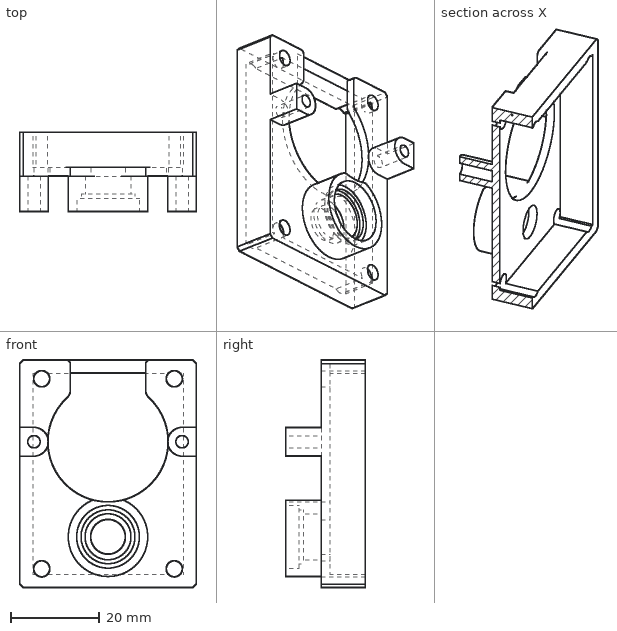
import cadquery as cq

WIDTH = 40.0
HEIGHT = 51.5
HOUSING_DEPTH = 10.0
PLATE_THICKNESS = 2.0
WALL = 3.0
CORNER_CHAMFER = 0.8

WINDOW_RADIUS = 13.6
WINDOW_Z = 33.0
SLOT_WIDTH = 17.0
SLOT_TOP_ROUNDING = 1.0
SLOT_FOOT_ROUNDING = 2.0

SCREW_HOLE_DIAMETER = 3.6
SCREW_SPACING_X = 30.0
SCREW_SPACING_Z = 43.0

PROJECTION = 8.0
STANDOFF_Z = 33.0
STANDOFF_WIDTH = 6.5
STANDOFF_LENGTH = 6.5
STANDOFF_HOLE_DIAMETER = 2.8

BEARING_Z = 11.5
BEARING_BOSS_DIAMETER = 18.0
BOSS_EDGE_ROUNDING = 1.0
SHAFT_HOLE_DIAMETER = 7.8
FRONT_LENGTH = PROJECTION + PLATE_THICKNESS
BORE_STEPS = [
    (14.2, 3.0),
    (12.2, 4.0),
    (10.4, PROJECTION),
    (SHAFT_HOLE_DIAMETER, FRONT_LENGTH),
]


def front_plane(y):
    """Plane facing -Y at the given Y, with local x along X and local y along Z."""
    return cq.Workplane(cq.Plane(origin=(0, y, 0), xDir=(1, 0, 0), normal=(0, -1, 0)))


def make_housing():
    """Box open at the back, with its four corner edges along Y chamfered."""
    outer = (
        front_plane(HOUSING_DEPTH)
        .center(0, HEIGHT / 2)
        .rect(WIDTH, HEIGHT)
        .extrude(HOUSING_DEPTH)
        .edges("|Y")
        .chamfer(CORNER_CHAMFER)
    )
    cavity = (
        front_plane(HOUSING_DEPTH)
        .center(0, HEIGHT / 2)
        .rect(WIDTH - 2 * WALL, HEIGHT - 2 * WALL)
        .extrude(HOUSING_DEPTH - PLATE_THICKNESS)
    )
    return outer.cut(cavity)


def make_standoff(side):
    """Screw post at one side edge: flat outside, round inside. side is -1 or +1."""
    radius = STANDOFF_WIDTH / 2
    outer_x = side * WIDTH / 2
    tip_x = side * (WIDTH / 2 - STANDOFF_LENGTH)
    centre_x = tip_x + side * radius
    post = (
        front_plane(0)
        .moveTo(outer_x, STANDOFF_Z - radius)
        .lineTo(centre_x, STANDOFF_Z - radius)
        .threePointArc((tip_x, STANDOFF_Z), (centre_x, STANDOFF_Z + radius))
        .lineTo(outer_x, STANDOFF_Z + radius)
        .close()
        .extrude(PROJECTION)
    )
    hole = front_plane(0).center(centre_x, STANDOFF_Z).circle(STANDOFF_HOLE_DIAMETER / 2).extrude(PROJECTION)
    return post.cut(hole)


def make_bearing_boss():
    """Solid round boss in front of the plate."""
    return front_plane(0).center(0, BEARING_Z).circle(BEARING_BOSS_DIAMETER / 2).extrude(PROJECTION)


def cut_window(body):
    """Cut the round window and its slot through the plate and the boss."""
    window = front_plane(PLATE_THICKNESS).center(0, WINDOW_Z).circle(WINDOW_RADIUS).extrude(FRONT_LENGTH)
    slot_height = HEIGHT - WINDOW_Z
    slot = (
        front_plane(PLATE_THICKNESS)
        .center(0, WINDOW_Z + slot_height / 2)
        .rect(SLOT_WIDTH, slot_height)
        .extrude(FRONT_LENGTH)
    )
    return body.cut(window).cut(slot)


def round_slot_edges(body):
    """Round the plate corners where the slot meets the top edge and the round window."""
    half = SLOT_WIDTH / 2
    meeting_z = WINDOW_Z + (WINDOW_RADIUS**2 - half**2) ** 0.5
    for side in (-1, 1):
        for z, radius in ((meeting_z, SLOT_FOOT_ROUNDING), (HEIGHT, SLOT_TOP_ROUNDING)):
            corner = cq.selectors.NearestToPointSelector((side * half, PLATE_THICKNESS / 2, z))
            body = body.edges("|Y").edges(corner).fillet(radius)
    return body


def round_boss_edges(body):
    """Round the boss edges where the round window cuts into it."""
    distance = WINDOW_Z - BEARING_Z
    boss_radius = BEARING_BOSS_DIAMETER / 2
    rise = (distance**2 + boss_radius**2 - WINDOW_RADIUS**2) / (2 * distance)
    half = (boss_radius**2 - rise**2) ** 0.5
    for side in (-1, 1):
        corner = cq.selectors.NearestToPointSelector((side * half, -PROJECTION / 2, BEARING_Z + rise))
        body = body.edges("|Y").edges(corner).fillet(BOSS_EDGE_ROUNDING)
    return body


def cut_bore(body):
    """Cut the stepped bore from the boss front face through the plate."""
    for diameter, depth in BORE_STEPS:
        step = front_plane(depth - PROJECTION).center(0, BEARING_Z).circle(diameter / 2).extrude(depth)
        body = body.cut(step)
    return body


def cut_screw_holes(body):
    """Cut the four corner screw holes through the full housing depth."""
    holes = (
        front_plane(HOUSING_DEPTH)
        .center(0, HEIGHT / 2)
        .rarray(SCREW_SPACING_X, SCREW_SPACING_Z, 2, 2)
        .circle(SCREW_HOLE_DIAMETER / 2)
        .extrude(HOUSING_DEPTH)
    )
    return body.cut(holes)


part = make_housing().union(make_bearing_boss())
part = cut_window(part)
part = round_slot_edges(part)
part = round_boss_edges(part)
for side in (-1, 1):
    part = part.union(make_standoff(side))
part = cut_bore(part)
result = cut_screw_holes(part)